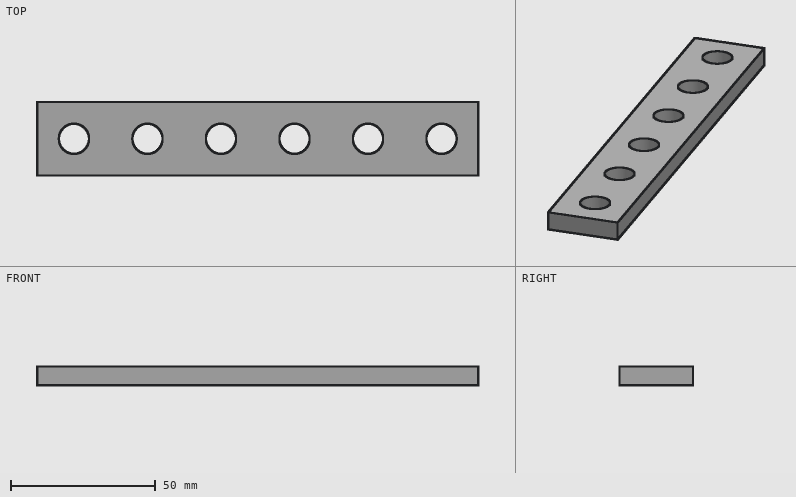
import cadquery as cq

length = 152.4
width = 25.5
thickness = 6.5

hole_count = 6
hole_diameter = 10.4
hole_pitch = length / hole_count

bar = cq.Workplane("XY").box(length, width, thickness)

result = (
    bar.faces(">Z")
    .workplane()
    .rarray(hole_pitch, width, hole_count, 1)
    .hole(hole_diameter)
)